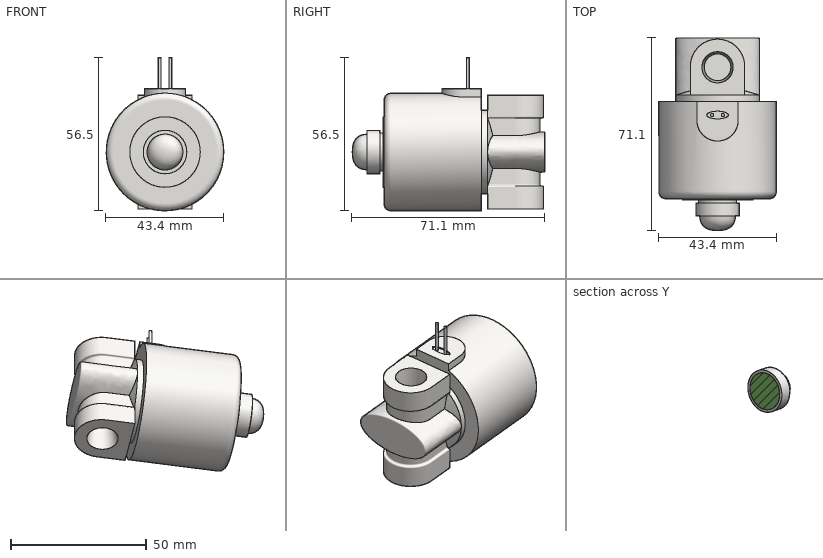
import cadquery as cq
import math

overall_length = 71.1
overall_height = 56.5

can_diameter = 43.4
can_radius = can_diameter / 2
can_length = 35.95
can_edge_fillet = 2.55
plate_radius = 13.0
plate_thickness = 0.35
neck_radius = 7.05
neck_length = 1.2
nut_radius = 8.0
nut_length = 4.75
dome_radius = 6.6
dome_height = 5.4
dome_shoulder_radius = 5.1
dome_shoulder_height = 3.85

boss_radius = 7.6
boss_top = 23.4
boss_length = 14.65
recess_length = 7.95
recess_width = 2.85
recess_depth = 0.5
lead_radius = 0.6
lead_spacing = 4.0
lead_y = -5.05
lead_top = overall_height - can_radius

collar_radius = 15.5
collar_length = 2.3
shoulder_angle = 22.5
body_half_height = 7.45
body_edge_fillet = 0.4

port_y = 12.6
pad_y = 12.9
pad_radius = 10.0
pad_top = 21.05
pad_bottom = 12.5
ledge_fillet = 0.5
stem_radius = pad_radius - 2 * ledge_fillet
port_mouth_radius = 5.75
port_floor_radius = 4.9
port_depth = 9.95

can_front = -can_length
plate_front = can_front - plate_thickness
neck_front = plate_front - neck_length
nut_front = neck_front - nut_length
dome_tip = nut_front - dome_height
body_rear = overall_length + dome_tip


def y_cylinder(radius, y_start, y_end):
    """Cylinder on the coil axis between two Y stations."""
    plane = cq.Workplane("XZ", origin=(0, y_start, 0))
    return plane.circle(radius).extrude(y_start - y_end)


def make_can():
    """Coil can with its rounded front rim, face plate and neck."""
    can = y_cylinder(can_radius, 0, can_front).faces("<Y").edges().fillet(can_edge_fillet)
    plate = y_cylinder(plate_radius, can_front, plate_front)
    neck = y_cylinder(neck_radius, can_front, neck_front)
    return can.union(plate).union(neck)


def make_nut():
    """Retaining nut with a smooth, full-shouldered dome."""
    dome_points = [(dome_shoulder_radius, nut_front - dome_shoulder_height), (0, dome_tip)]
    profile = (
        cq.Workplane("XY")
        .moveTo(0, neck_front)
        .lineTo(nut_radius, neck_front)
        .lineTo(nut_radius, nut_front)
        .lineTo(dome_radius, nut_front)
        .spline(dome_points, tangents=[(0, -1), (-1, 0)], includeCurrent=True)
        .close()
    )
    return profile.revolve(360, (0, 0, 0), (0, 1, 0))


def make_lead_boss():
    """Round-ended boss with an elliptical recess and two lead wires."""
    arc_y = boss_radius - boss_length
    boss = (
        cq.Workplane("XY")
        .moveTo(-boss_radius, 0)
        .lineTo(-boss_radius, arc_y)
        .threePointArc((0, -boss_length), (boss_radius, arc_y))
        .lineTo(boss_radius, 0)
        .close()
        .extrude(boss_top)
    )
    recess_floor = boss_top - recess_depth
    floor_plane = cq.Workplane("XY", origin=(0, lead_y, recess_floor))
    recess = floor_plane.ellipse(recess_length / 2, recess_width / 2).extrude(recess_depth)
    leads = (
        floor_plane.pushPoints([(-lead_spacing / 2, 0), (lead_spacing / 2, 0)])
        .circle(lead_radius)
        .extrude(lead_top - recess_floor)
    )
    return boss, recess, leads


def make_body():
    """Flat elliptical body, collar and the conical shoulder between them."""
    body = (
        cq.Workplane("XZ", origin=(0, body_rear, 0))
        .ellipse(collar_radius, body_half_height)
        .extrude(body_rear)
        .faces(">Y")
        .edges()
        .fillet(body_edge_fillet)
    )
    collar = y_cylinder(collar_radius, 0, collar_length)
    shoulder_height = collar_radius * math.tan(math.radians(shoulder_angle))
    shoulder = (
        cq.Workplane("XY")
        .moveTo(0, collar_length)
        .lineTo(collar_radius, collar_length)
        .lineTo(0, collar_length + shoulder_height)
        .close()
        .revolve(360, (0, 0, 0), (0, 1, 0))
    )
    return body.union(collar).union(shoulder)


def stem_section(plane):
    """Half section of the port stem, flaring out in a concave round under the pad."""
    flare_radius = stem_radius + ledge_fillet
    flare_start = pad_bottom - ledge_fillet
    diagonal = ledge_fillet * math.sqrt(0.5)
    return (
        plane.lineTo(stem_radius, 0)
        .lineTo(stem_radius, flare_start)
        .threePointArc((flare_radius - diagonal, flare_start + diagonal), (flare_radius, pad_bottom))
        .lineTo(0, pad_bottom)
        .close()
    )


def pad_section(plane):
    """Half section of the port pad with a rounded lower edge."""
    round_radius = pad_radius - ledge_fillet
    round_top = pad_bottom + ledge_fillet
    diagonal = ledge_fillet * math.sqrt(0.5)
    return (
        plane.moveTo(0, pad_bottom)
        .lineTo(round_radius, pad_bottom)
        .threePointArc((round_radius + diagonal, round_top - diagonal), (pad_radius, round_top))
        .lineTo(pad_radius, pad_top)
        .lineTo(0, pad_top)
        .close()
    )


def round_ended_block(section, center_y):
    """Sweep a half section into a round rear end and straight sides up to the collar."""
    plane = cq.Workplane("XZ", origin=(0, center_y, 0))
    round_end = section(plane).revolve(360, (0, 0, 0), (0, 1, 0))
    half_straight = section(plane).extrude(center_y - collar_length)
    return round_end.union(half_straight).union(half_straight.mirror("YZ"))


def make_upper_bore():
    """Tapered blind bore of the port."""
    return (
        cq.Workplane("XY", origin=(0, port_y, pad_top))
        .circle(port_mouth_radius)
        .workplane(offset=-port_depth)
        .circle(port_floor_radius)
        .loft()
    )


lead_boss, lead_recess, lead_wires = make_lead_boss()
upper_port = round_ended_block(stem_section, port_y).union(round_ended_block(pad_section, pad_y))
upper_bore = make_upper_bore()

valve_body = make_body().union(upper_port).union(upper_port.mirror("XY"))
valve_body = valve_body.cut(upper_bore).cut(upper_bore.mirror("XY"))
solenoid = make_can().union(make_nut()).union(lead_boss).cut(lead_recess).union(lead_wires)

result = solenoid.union(valve_body)